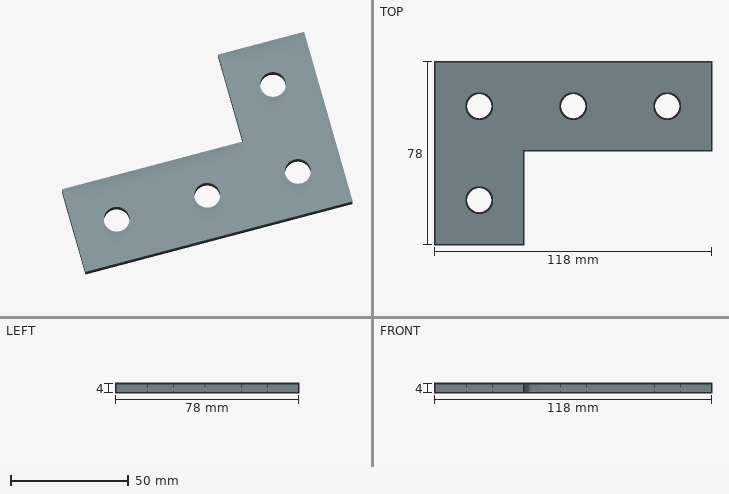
import cadquery as cq

length = 118.0
hole_pitch = 40.0
thickness = 4.0
hole_diameter = 11.0

leg_width = length - 2 * hole_pitch
depth = leg_width + hole_pitch
edge_distance = leg_width / 2

long_leg = cq.Workplane("XY").box(length, leg_width, thickness, centered=False)
long_leg = long_leg.translate((0, depth - leg_width, 0))
short_leg = cq.Workplane("XY").box(leg_width, depth, thickness, centered=False)
plate = long_leg.union(short_leg).clean()

corner_hole_y = depth - edge_distance
hole_centers = [(edge_distance + i * hole_pitch, corner_hole_y) for i in range(3)]
hole_centers.append((edge_distance, corner_hole_y - hole_pitch))
holes = cq.Workplane("XY").pushPoints(hole_centers).circle(hole_diameter / 2).extrude(thickness)

result = plate.cut(holes)